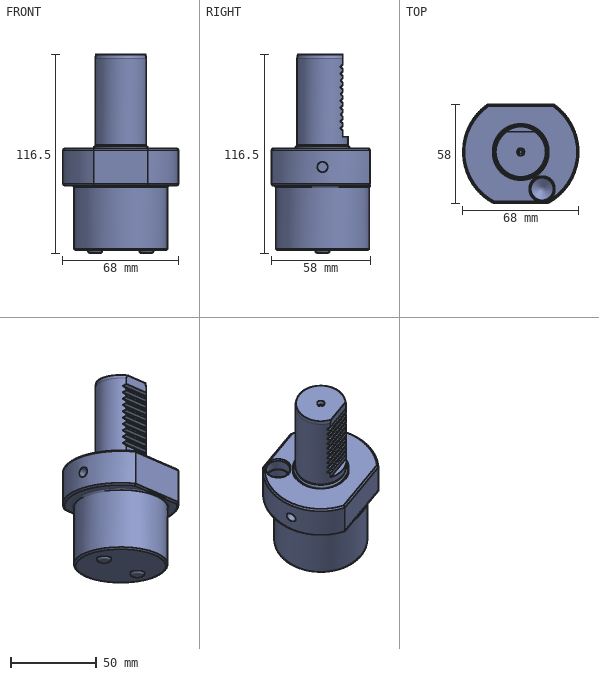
import cadquery as cq
import math

pad_height = 1.5
body_height = 38.0
flange_height = 22.0
shank_height = 55.0
body_bottom = pad_height
flange_bottom = body_bottom + body_height
flange_top = flange_bottom + flange_height
shank_top = flange_top + shank_height

edge_chamfer = 1.0

body_radius = 27.5
root_fillet = 0.9

flange_radius = 34.0
back_flat = 28.0
front_flat = 30.0

shank_radius = 15.0
shank_lead_height = 2.1
shank_lead_width = 0.5
shank_flat = 12.0
shank_flat_start = flange_top + 6.9
tooth_depth = 1.4
tooth_gap_count = 10
tooth_row_length = 36.0
tooth_pitch = tooth_row_length / (tooth_gap_count - 1)
first_tooth_gap = flange_top + 11.8

neck_radius = 14.8
neck_height = 1.4
neck_taper_height = 0.7
groove_radius = 16.5
groove_depth = 1.2
ring_center_radius = 14.7
ring_tube_radius = 1.3

center_radius = 2.2
center_pilot_radius = 1.0
center_cone_angle = 60
center_pilot_depth = 2.3

bore_pitch_radius = 25.0
bore_angle = -60
bore_radius = 7.0
bore_rim_width = 0.6
bore_rim_depth = 1.0
bore_depth = 8.0
lower_bore_radius = 6.6
lower_bore_depth = 14.0
drill_point_angle = 118

side_hole_radius = 3.0
side_hole_depth = 10.0

pad_pitch_radius = 15.0
pad_radius = 4.3


def cone_height(large_radius, small_radius, included_angle):
    return (large_radius - small_radius) / math.tan(math.radians(included_angle / 2))


def disc(radius, bottom, height):
    return cq.Workplane("XY").workplane(offset=bottom).circle(radius).extrude(height)


def turned(points):
    """Revolve a closed (radius, z) outline about the Z axis."""
    return cq.Workplane("XZ").polyline(points).close().revolve(360, (0, 0), (0, 1))


def between_flats(height, bottom):
    """Block bounded in Y by the two flange flats."""
    depth = back_flat + front_flat
    return (
        cq.Workplane("XY", origin=(0, (back_flat - front_flat) / 2, bottom))
        .rect(3 * flange_radius, depth)
        .extrude(height)
    )


def make_body():
    root_radius = body_radius + root_fillet
    root_bottom = flange_bottom - root_fillet
    arc_offset = root_fillet * (1 - math.sqrt(0.5))
    body = (
        cq.Workplane("XZ")
        .moveTo(0, body_bottom)
        .lineTo(body_radius - edge_chamfer, body_bottom)
        .lineTo(body_radius, body_bottom + edge_chamfer)
        .lineTo(body_radius, root_bottom)
        .threePointArc((body_radius + arc_offset, flange_bottom - arc_offset), (root_radius, flange_bottom))
        .lineTo(0, flange_bottom)
        .close()
        .revolve(360, (0, 0), (0, 1))
    )
    return body.intersect(between_flats(body_height, body_bottom))


def make_flange():
    flange = disc(flange_radius, flange_bottom, flange_height)
    flange = flange.intersect(between_flats(flange_height, flange_bottom))
    flange = flange.faces("<Z or >Z").chamfer(edge_chamfer)
    groove = disc(groove_radius, flange_top - groove_depth, groove_depth)
    return flange.cut(groove)


def make_shank():
    neck_top = flange_top + neck_height
    shank = turned([
        (0, flange_top - groove_depth),
        (neck_radius, flange_top - groove_depth),
        (neck_radius, neck_top),
        (shank_radius, neck_top + neck_taper_height),
        (shank_radius, shank_top - shank_lead_height),
        (shank_radius - shank_lead_width, shank_top),
        (0, shank_top),
    ])
    flat_length = shank_top - shank_flat_start
    flat_cut = (
        cq.Workplane("XY", origin=(0, shank_flat + shank_radius / 2, shank_flat_start))
        .rect(2 * shank_radius, shank_radius)
        .extrude(flat_length)
    )
    shank = shank.cut(flat_cut)
    for index in range(tooth_gap_count):
        gap_z = first_tooth_gap + index * tooth_pitch
        gap = (
            cq.Workplane("YZ")
            .polyline([
                (shank_flat - tooth_depth, gap_z),
                (shank_flat + tooth_depth, gap_z - 2 * tooth_depth),
                (shank_flat + tooth_depth, gap_z + 2 * tooth_depth),
            ])
            .close()
            .extrude(shank_radius, both=True)
        )
        shank = shank.cut(gap)
    return shank


def make_sealing_ring():
    return (
        cq.Workplane("XZ")
        .center(ring_center_radius, flange_top)
        .circle(ring_tube_radius)
        .revolve(360, (-ring_center_radius, 0), (-ring_center_radius, 1))
    )


def make_pads():
    face_radius = pad_radius - pad_height
    arc_offset = pad_height * (1 - math.sqrt(0.5))
    pad = (
        cq.Workplane("XZ")
        .lineTo(face_radius, 0)
        .threePointArc((pad_radius - arc_offset, arc_offset), (pad_radius, pad_height))
        .lineTo(0, pad_height)
        .close()
        .revolve(360, (0, 0), (0, 1))
    )
    return [pad.translate((side * pad_pitch_radius, 0, 0)) for side in (-1, 1)]


def make_center_drilling():
    cone_bottom = shank_top - cone_height(center_radius, center_pilot_radius, center_cone_angle)
    pilot_bottom = cone_bottom - center_pilot_depth
    return turned([
        (0, pilot_bottom),
        (center_pilot_radius, pilot_bottom),
        (center_pilot_radius, cone_bottom),
        (center_radius, shank_top),
        (0, shank_top),
    ])


def make_bore():
    step_z = flange_top - bore_depth
    lower_bottom = flange_top - lower_bore_depth
    bore = turned([
        (0, lower_bottom - cone_height(lower_bore_radius, 0, drill_point_angle)),
        (lower_bore_radius, lower_bottom),
        (lower_bore_radius, step_z),
        (bore_radius, step_z),
        (bore_radius, flange_top - bore_rim_depth),
        (bore_radius + bore_rim_width, flange_top),
        (0, flange_top),
    ])
    angle = math.radians(bore_angle)
    return bore.translate((bore_pitch_radius * math.cos(angle), bore_pitch_radius * math.sin(angle), 0))


def make_side_hole():
    mid_height = flange_bottom + flange_height / 2
    return (
        cq.Workplane("YZ", origin=(flange_radius - side_hole_depth, 0, mid_height))
        .circle(side_hole_radius)
        .extrude(side_hole_depth)
    )


result = make_body().union(make_flange()).union(make_shank()).union(make_sealing_ring())
for pad in make_pads():
    result = result.union(pad)
for hole in (make_center_drilling(), make_bore(), make_side_hole()):
    result = result.cut(hole)